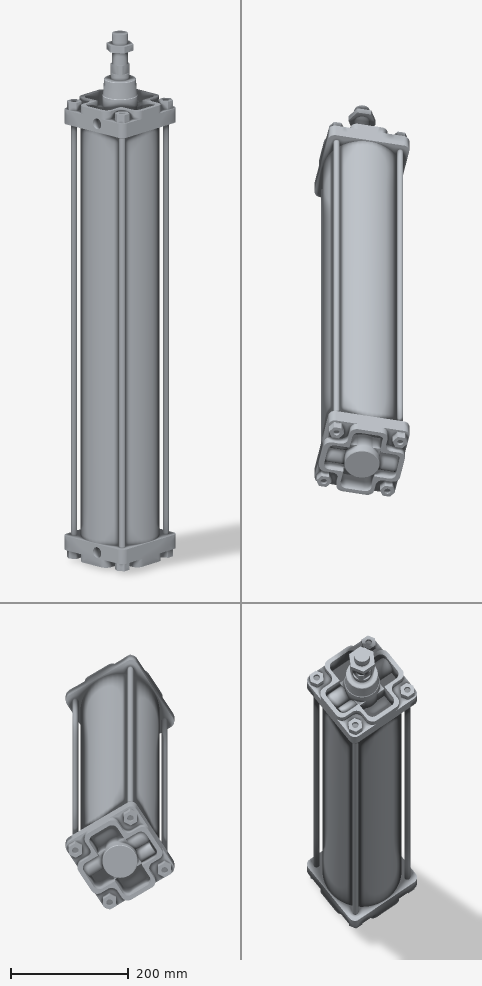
import cadquery as cq
import math

overall_height = 935.0
head_side = 140.0
head_corner_radius = 11.0
head_height = 39.0
head_step = 14.0
lower_head_bottom = 7.0
upper_head_top = 815.0
tube_diameter = 135.0

lower_head_top = lower_head_bottom + head_height
upper_head_bottom = upper_head_top - head_height

arm_half_width = 33.0
arm_corner_radius = 12.0
pocket_half_width = 27.0
pocket_reach = 63.0
pocket_corner_radius = 11.0
pocket_depth = 37.0
selection_margin = 1.0
core_drop = 9.0

port_setback = 15.0
port_offset = 11.0
port_diameter = 19.0
port_depth = 14.0
port_boss_diameter = 30.0
port_boss_gap = 5.0
cushion_boss_diameter = 25.0
cushion_boss_offset = -17.0
cushion_boss_end = 56.0

tie_rod_offset = 55.0
tie_rod_diameter = 10.0
tie_nut_across_flats = 22.0
tie_nut_recess_diameter = 11.0
tie_nut_recess_depth = 6.0

collar_diameter = 60.0
collar_chamfer = 1.0
collar_top = 826.0
guide_top_diameter = 54.0
guide_base_diameter = 58.0
guide_chamfer = 1.0
guide_top = 855.0

rod_diameter = 32.0
thread_diameter = 27.0
thread_bottom = 881.0
flats_bottom = 865.0
across_flats = thread_diameter
lock_nut_across_flats = 41.0
lock_nut_bottom = 905.0
lock_nut_top = 916.0


def cylinder(diameter, bottom, top):
    return cq.Workplane("XY").workplane(offset=bottom).circle(diameter / 2).extrude(top - bottom)


def hexagon(width, bottom, top):
    """Hexagonal prism with two of its corners along Y."""
    across_corners = width / math.cos(math.pi / 6)
    prism = cq.Workplane("XY").polygon(6, across_corners).extrude(top - bottom)
    return prism.rotate((0, 0, 0), (0, 0, 1), 90).translate((0, 0, bottom))


def rounded_box(size_x, size_y, bottom, top, radius):
    box = cq.Workplane("XY").workplane(offset=bottom).rect(size_x, size_y).extrude(top - bottom)
    return box.edges("|Z").fillet(radius)


def cross(half_width, reach, bottom, top, radius):
    along_x = rounded_box(2 * reach, 2 * half_width, bottom, top, radius)
    along_y = rounded_box(2 * half_width, 2 * reach, bottom, top, radius)
    return along_x.union(along_y)


def along_y_cylinder(diameter, x, y_start, y_end):
    """Cylinder along Y at the height of the port axis of a head."""
    circle = cq.Workplane("XZ", origin=(x, y_start, port_setback)).circle(diameter / 2)
    return circle.extrude(y_start - y_end)


def make_crown():
    """Cross-shaped end of a head, rounded at the outer and the inner corners."""
    bottom = head_height - head_step
    crown = cross(arm_half_width, head_side / 2, bottom, head_height, arm_corner_radius)
    near = arm_half_width + selection_margin
    inner_zone = cq.selectors.BoxSelector((-near, -near, 0), (near, near, 2 * head_height))
    return crown.edges(inner_zone).edges("|Z").fillet(arm_corner_radius)


def make_bosses():
    """Port and cushion bosses, trimmed to the width of the pocket arms along Y."""
    boss_end = head_side / 2 - port_boss_gap
    port_boss = along_y_cylinder(port_boss_diameter, port_offset, -boss_end, boss_end)
    cushion_boss = along_y_cylinder(cushion_boss_diameter, cushion_boss_offset, 0, cushion_boss_end)
    channel = cq.Workplane("XY").rect(2 * pocket_half_width, head_side).extrude(head_height)
    return port_boss.union(cushion_boss).intersect(channel)


def make_head():
    """Head with its tube side at Z = 0 and its cross-shaped end upward."""
    half_side = head_side / 2
    core_side = 2 * pocket_half_width
    floor = head_height - pocket_depth
    head = rounded_box(head_side, head_side, 0, head_height - head_step, head_corner_radius)
    head = head.union(make_crown())
    head = head.cut(cross(pocket_half_width, pocket_reach, floor, head_height, pocket_corner_radius))
    core = cq.Workplane("XY").rect(core_side, core_side).extrude(head_height - core_drop)
    head = head.union(core).union(make_bosses())
    return head.cut(along_y_cylinder(port_diameter, port_offset, -half_side, -half_side + port_depth))


def make_tie_nut(bottom, recess_bottom):
    nut = hexagon(tie_nut_across_flats, bottom, bottom + head_step)
    return nut.cut(cylinder(tie_nut_recess_diameter, recess_bottom, recess_bottom + tie_nut_recess_depth))


def make_tie_rod(x, y):
    """Tie rod with a nut at each end, recessed on its outer face."""
    upper_nut_bottom = upper_head_top - head_step
    rod = cylinder(tie_rod_diameter, lower_head_bottom + head_step, upper_nut_bottom)
    upper_nut = make_tie_nut(upper_nut_bottom, upper_head_top - tie_nut_recess_depth)
    lower_nut = make_tie_nut(lower_head_bottom, lower_head_bottom)
    return rod.union(upper_nut).union(lower_nut).translate((x, y, 0))


def make_guide():
    """Slightly tapered rod guide standing on the upper collar."""
    base = cq.Workplane("XY").workplane(offset=collar_top).circle(guide_base_diameter / 2)
    cone = base.workplane(offset=guide_top - collar_top).circle(guide_top_diameter / 2).loft()
    return cone.faces(">Z").chamfer(guide_chamfer)


def make_housing():
    """Tube, heads, tie rods, collars and guide, with the socket for the piston rod."""
    upper_head = make_head().translate((0, 0, upper_head_bottom))
    lower_head = make_head().mirror("XY").translate((0, 0, lower_head_top))
    tube = cylinder(tube_diameter, lower_head_top, upper_head_bottom)
    body = tube.union(upper_head).union(lower_head)
    for x in (-tie_rod_offset, tie_rod_offset):
        for y in (-tie_rod_offset, tie_rod_offset):
            body = body.union(make_tie_rod(x, y))
    upper_collar = cylinder(collar_diameter, upper_head_bottom, collar_top)
    lower_collar = cylinder(collar_diameter, 0, lower_head_top)
    body = body.union(upper_collar.faces(">Z").chamfer(collar_chamfer))
    body = body.union(lower_collar.faces("<Z").chamfer(collar_chamfer))
    body = body.union(make_guide())
    return body.cut(cylinder(rod_diameter, upper_head_bottom, guide_top))


def make_piston_rod():
    """Rod with four wrench flats below its thinner threaded end."""
    shaft = cylinder(rod_diameter, upper_head_bottom, flats_bottom)
    flats = cq.Workplane("XY").workplane(offset=flats_bottom).rect(across_flats, across_flats)
    flats = flats.extrude(thread_bottom - flats_bottom)
    flats = flats.intersect(cylinder(rod_diameter, flats_bottom, thread_bottom))
    thread = cylinder(thread_diameter, thread_bottom, overall_height)
    return shaft.union(flats).union(thread)


def make_lock_nut():
    nut = hexagon(lock_nut_across_flats, lock_nut_bottom, lock_nut_top)
    return nut.cut(cylinder(thread_diameter, lock_nut_bottom, lock_nut_top))


housing = make_housing()
piston_rod = make_piston_rod()
lock_nut = make_lock_nut()
result = cq.Compound.makeCompound([housing.val(), piston_rod.val(), lock_nut.val()])